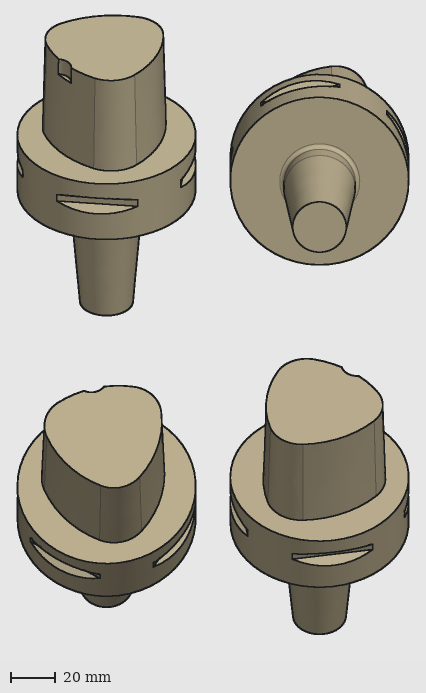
import cadquery as cq
import math

nose_length = 60.0
flange_height = 30.0
total_length = 138.0
collar_length = 10.0
flange_top = nose_length + flange_height
collar_bottom = nose_length - collar_length

flange_radius = 40.0
collar_radius = 16.0
nose_tip_radius = 12.0
root_fillet = 2.0

lobe_centre_distance = 13.8
lobe_radius = 15.9
flank_apothem = 25.1
shank_taper = 1.2

groove_count = 4
groove_floor_distance = 35.6
groove_floor_height = 3.5
groove_wall_angle = 30.0
groove_centre_z = flange_top - 12.0

notch_radius = 6.9
notch_centre_y = -28.8
notch_depth = 8.0


def polar(radius, angle):
    """Point at a radius and an angle in degrees."""
    a = math.radians(angle)
    return (radius * math.cos(a), radius * math.sin(a))


def lobed_outline(z, inset):
    """Wire of three lobe arcs joined by three tangent flank arcs."""
    small = lobe_radius - inset
    apothem = flank_apothem - inset
    d = lobe_centre_distance
    gap = apothem - small
    flank_centre_distance = (d**2 - gap**2) / (2 * gap - d)
    centre_gap = flank_centre_distance + gap
    half_sweep = math.degrees(math.asin(d * math.sin(math.radians(60)) / centre_gap))
    flank_radius = centre_gap + small

    def flank_point(axis, offset):
        cx, cy = polar(-flank_centre_distance, axis)
        px, py = polar(flank_radius, axis + offset)
        return (cx + px, cy + py)

    outline = cq.Workplane("XY", origin=(0, 0, z)).moveTo(*flank_point(-90, -half_sweep))
    for axis in (-90, 30, 150):
        outline = outline.threePointArc(polar(apothem, axis), flank_point(axis, half_sweep))
        outline = outline.threePointArc(polar(d + small, axis + 60), flank_point(axis + 120, -half_sweep))
    return outline.close().val()


def make_turned_body():
    """Tapered nose, collar with its root fillet, and flange."""
    fillet_start = nose_length - root_fillet
    fillet_mid = root_fillet * (1 - math.sqrt(0.5))
    return (
        cq.Workplane("XZ")
        .lineTo(nose_tip_radius, 0)
        .lineTo(collar_radius, collar_bottom)
        .lineTo(collar_radius, fillet_start)
        .threePointArc(
            (collar_radius + fillet_mid, nose_length - fillet_mid),
            (collar_radius + root_fillet, nose_length),
        )
        .lineTo(flange_radius, nose_length)
        .lineTo(flange_radius, flange_top)
        .lineTo(0, flange_top)
        .close()
        .revolve(360, (0, 0), (0, 1))
    )


def make_shank():
    base = lobed_outline(flange_top, 0)
    end = lobed_outline(total_length, shank_taper)
    return cq.Workplane(cq.Solid.makeLoft([base, end], True))


def make_groove(angle):
    """Straight flat-bottomed V groove cut across the flange rim."""
    depth = flange_radius - groove_floor_distance
    half_floor = groove_floor_height / 2
    half_mouth = half_floor + depth * math.tan(math.radians(groove_wall_angle))
    return (
        cq.Workplane("XZ")
        .moveTo(groove_floor_distance, groove_centre_z - half_floor)
        .lineTo(flange_radius, groove_centre_z - half_mouth)
        .lineTo(flange_radius, groove_centre_z + half_mouth)
        .lineTo(groove_floor_distance, groove_centre_z + half_floor)
        .close()
        .extrude(flange_radius, both=True)
        .rotate((0, 0, 0), (0, 0, 1), angle)
    )


def make_notch():
    return (
        cq.Workplane("XY", origin=(0, notch_centre_y, total_length - notch_depth))
        .circle(notch_radius)
        .extrude(notch_depth)
    )


result = make_turned_body().union(make_shank())
for index in range(groove_count):
    result = result.cut(make_groove((index + 0.5) * 360 / groove_count))
result = result.cut(make_notch())